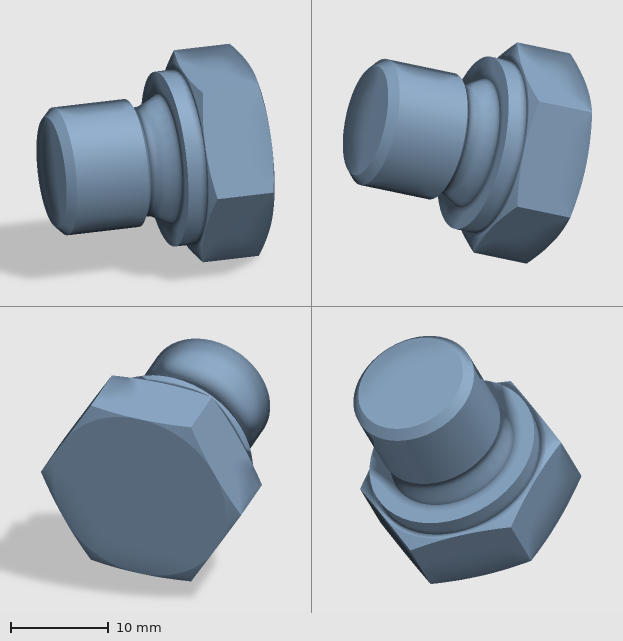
import cadquery as cq
import math

across_corners = 21.95
across_flats = across_corners * math.cos(math.radians(30))
overall_length = 21.0

head_height = 7.0
head_chamfer_angle = math.radians(20)

collar_diameter = 18.0
collar_height = 2.0

shank_radius = 6.58
shank_chamfer = 0.88
undercut_length = 3.5
undercut_radius = 5.62
cone_root_radius = 6.71
cone_angle = math.radians(27.5)
cone_fillet = 1.2
ramp_angle = math.radians(60)
ramp_fillet = 0.35


def fillet_point(start_y, direction, fillet, angle):
    """Point on a fillet leaving the undercut floor, after turning through angle."""
    return (
        undercut_radius + fillet * (1 - math.cos(angle)),
        start_y + direction * fillet * math.sin(angle),
    )


def make_head():
    """Hexagonal prism with its corners cut by a shallow cone at both ends."""
    corner_radius = across_corners / 2
    flat_radius = across_flats / 2
    chamfer_drop = (corner_radius - flat_radius) * math.tan(head_chamfer_angle)
    prism = cq.Workplane("XZ").polygon(6, across_corners).extrude(head_height)
    envelope = (
        cq.Workplane("XY")
        .polyline([
            (0, 0),
            (flat_radius, 0),
            (corner_radius, -chamfer_drop),
            (corner_radius, chamfer_drop - head_height),
            (flat_radius, -head_height),
            (0, -head_height),
        ])
        .close()
        .revolve(360, (0, 0), (0, 1))
    )
    return prism.intersect(envelope)


def make_collar_and_shank():
    """Revolved collar, filleted undercut and chamfered shank."""
    collar_top = -head_height
    collar_face = collar_top - collar_height
    shank_start = collar_face - undercut_length
    shank_end = -overall_length

    cone_tangent_radius = undercut_radius + cone_fillet * (1 - math.cos(cone_angle))
    cone_length = (cone_root_radius - cone_tangent_radius) / math.tan(cone_angle)
    floor_top = collar_face - cone_length - cone_fillet * math.sin(cone_angle)
    ramp_tangent_radius = undercut_radius + ramp_fillet * (1 - math.cos(ramp_angle))
    ramp_length = (shank_radius - ramp_tangent_radius) / math.tan(ramp_angle)
    floor_bottom = shank_start + ramp_length + ramp_fillet * math.sin(ramp_angle)

    return (
        cq.Workplane("XY")
        .moveTo(0, collar_top)
        .lineTo(collar_diameter / 2, collar_top)
        .lineTo(collar_diameter / 2, collar_face)
        .lineTo(cone_root_radius, collar_face)
        .lineTo(*fillet_point(floor_top, 1, cone_fillet, cone_angle))
        .threePointArc(
            fillet_point(floor_top, 1, cone_fillet, cone_angle / 2),
            (undercut_radius, floor_top),
        )
        .lineTo(undercut_radius, floor_bottom)
        .threePointArc(
            fillet_point(floor_bottom, -1, ramp_fillet, ramp_angle / 2),
            fillet_point(floor_bottom, -1, ramp_fillet, ramp_angle),
        )
        .lineTo(shank_radius, shank_start)
        .lineTo(shank_radius, shank_end + shank_chamfer)
        .lineTo(shank_radius - shank_chamfer, shank_end)
        .lineTo(0, shank_end)
        .close()
        .revolve(360, (0, 0), (0, 1))
    )


result = make_head().union(make_collar_and_shank())